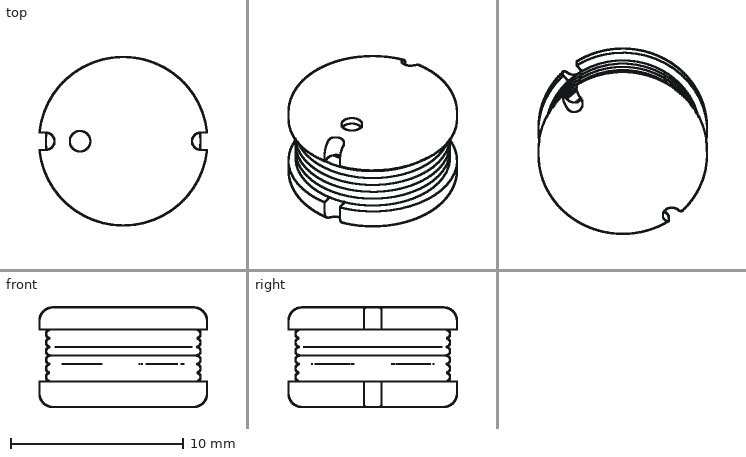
import cadquery as cq

flange_radius = 4.895
edge_rounding = 0.8
base_flange_height = 1.5
top_flange_height = 1.3

turn_count = 6
wire_diameter = 0.5
core_radius = 3.99
turn_radius = core_radius + wire_diameter / 2
winding_height = turn_count * wire_diameter

notch_width = 1.0
notch_round_center = core_radius + notch_width / 2

dot_radius = 0.6
dot_x = -2.51
dot_depth = 0.4

top_flange_z = base_flange_height + winding_height
total_height = top_flange_z + top_flange_height


def flange(bottom_z, height, rounded_edge):
    """Disc with one rounded rim, chosen by an edge selector."""
    disc = cq.Workplane("XY").workplane(offset=bottom_z).circle(flange_radius).extrude(height)
    return disc.edges(rounded_edge).fillet(edge_rounding)


def notch_cutter(side, bottom_z, height):
    """Round-ended slot, open outward; side is -1 for -X and +1 for +X."""
    slot_end = 2 * flange_radius
    half_width = notch_width / 2
    return (
        cq.Workplane("XY")
        .workplane(offset=bottom_z)
        .moveTo(side * slot_end, -half_width)
        .lineTo(side * notch_round_center, -half_width)
        .threePointArc((side * core_radius, 0), (side * notch_round_center, half_width))
        .lineTo(side * slot_end, half_width)
        .close()
        .extrude(height)
    )


def make_core():
    """Drum core: a post between two notched flanges."""
    base = flange(0, base_flange_height, "<Z")
    post = cq.Workplane("XY").workplane(offset=base_flange_height).circle(core_radius).extrude(winding_height)
    top = flange(top_flange_z, top_flange_height, ">Z")
    for side in (-1, 1):
        base = base.cut(notch_cutter(side, 0, base_flange_height))
        top = top.cut(notch_cutter(side, top_flange_z, top_flange_height))
    dot = (
        cq.Workplane("XY")
        .workplane(offset=total_height - dot_depth)
        .center(dot_x, 0)
        .circle(dot_radius)
        .extrude(dot_depth)
    )
    return base.union(post).union(top).cut(dot)


def make_wire_turn(center_z):
    """One closed turn of wire lying against the post."""
    return cq.Solid.makeTorus(turn_radius, wire_diameter / 2, cq.Vector(0, 0, center_z))


core = make_core()
wire_turns = []
for index in range(turn_count):
    turn_z = base_flange_height + (index + 0.5) * wire_diameter
    wire_turns.append(make_wire_turn(turn_z))

result = cq.Compound.makeCompound([core.solids().val(), *wire_turns])